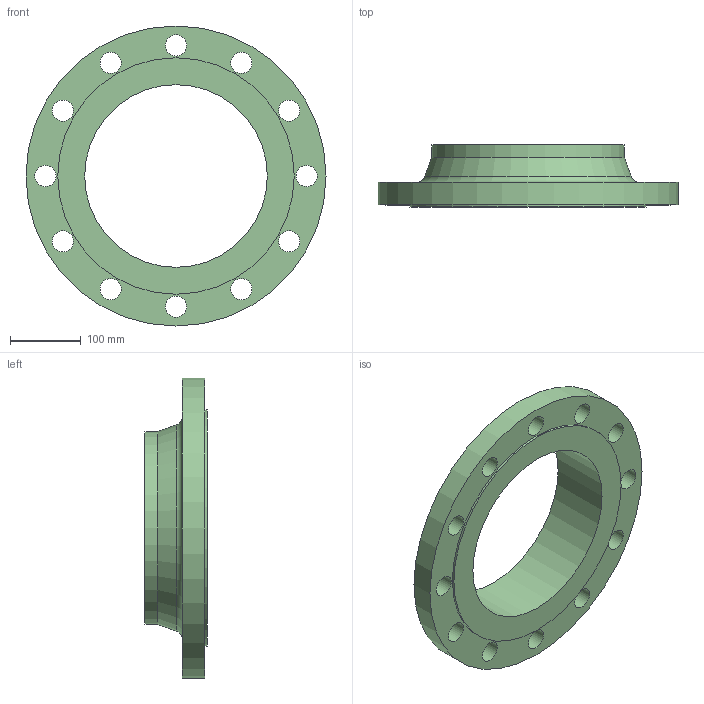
import cadquery as cq

overall_length = 88.0
bore_diameter = 258.8

flange_diameter = 425.0
disc_thickness = 32.0
raised_face_diameter = 335.0
raised_face_height = 3.0

pipe_diameter = 273.0
pipe_end_length = 18.0
hub_base_diameter = 298.0
hub_fillet_radius = 12.0

bolt_count = 12
bolt_circle_diameter = 370.0
bolt_hole_diameter = 30.0

disc_front_y = raised_face_height
disc_back_y = disc_front_y + disc_thickness
cone_end_y = overall_length - pipe_end_length


def make_disc():
    """Plain disc with the raised face in front of it."""
    disc_back_plane = cq.Workplane("XZ", origin=(0, disc_back_y, 0))
    disc = disc_back_plane.circle(flange_diameter / 2).extrude(disc_thickness)
    return disc.faces("<Y").workplane().circle(raised_face_diameter / 2).extrude(raised_face_height)


def make_hub():
    """Conical hub and straight pipe end, revolved from a half profile around Y."""
    return (
        cq.Workplane("XY")
        .moveTo(0, disc_back_y)
        .lineTo(hub_base_diameter / 2, disc_back_y)
        .lineTo(pipe_diameter / 2, cone_end_y)
        .lineTo(pipe_diameter / 2, overall_length)
        .lineTo(0, overall_length)
        .close()
        .revolve(360, (0, 0, 0), (0, 1, 0))
    )


def fillet_hub_base(body):
    """Round the corner between the hub cone and the back of the disc."""
    second_face_from_back = cq.selectors.CenterNthSelector(cq.Vector(0, 1, 0), -2)
    inner_circle = cq.selectors.RadiusNthSelector(0)
    disc_back = body.faces("|Y").faces(second_face_from_back)
    return disc_back.edges(inner_circle).fillet(hub_fillet_radius)


def make_bore():
    """Cylinder through the full length."""
    weld_end_plane = cq.Workplane("XZ", origin=(0, overall_length, 0))
    return weld_end_plane.circle(bore_diameter / 2).extrude(overall_length)


def make_bolt_holes():
    """Cylinders on the bolt circle, running through the disc."""
    return (
        cq.Workplane("XZ", origin=(0, disc_back_y, 0))
        .polarArray(bolt_circle_diameter / 2, 0, 360, bolt_count)
        .circle(bolt_hole_diameter / 2)
        .extrude(disc_thickness)
    )


body = make_disc().union(make_hub())
body = fillet_hub_base(body)
result = body.cut(make_bore()).cut(make_bolt_holes())